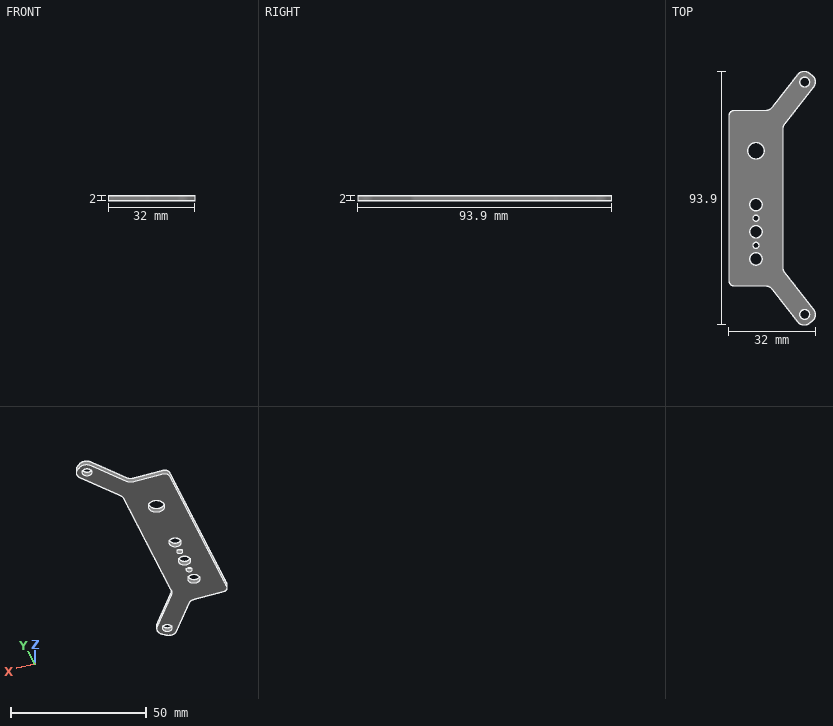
import cadquery as cq
import math

thickness = 2.0
plate_width = 20.0
plate_length = 65.0
plate_corner_radius = 2.0

overall_length = 93.9
overall_width = 32.0
arm_width = 7.5
arm_corner_radius = 3.0
arm_angle = 52.0
arm_hole_diameter = 3.6
arm_hole_setback = 3.7

switch_hole_diameter = 6.0
switch_hole_y = 17.6

led_hole_diameter = 4.5
led_pitch = 10.05
led_row_y = -12.4
pin_hole_diameter = 2.2

half_length = plate_length / 2
row_x = plate_width / 2

along_x = math.cos(math.radians(arm_angle))
along_y = math.sin(math.radians(arm_angle))
across_x = -along_y
across_y = along_x

half_flat = arm_width / 2 - arm_corner_radius
arc_middle_x = overall_width - arm_corner_radius + half_flat * across_x
arc_middle_y = overall_length / 2 - arm_corner_radius - half_flat * across_y


def on_arm(forward, outward):
    """Return the point at these distances along and across the arm from the middle of its arcs."""
    return (
        arc_middle_x + forward * along_x + outward * across_x,
        arc_middle_y + forward * along_y + outward * across_y,
    )


tip_outer = on_arm(arm_corner_radius, arm_width / 2)
tip_inner = on_arm(arm_corner_radius, -arm_width / 2)
arm_hole = on_arm(arm_corner_radius - arm_hole_setback, 0)
arm_slope = along_y / along_x
outer_root = (tip_outer[0] - (tip_outer[1] - half_length) / arm_slope, half_length)
inner_root = (plate_width, tip_inner[1] - (tip_inner[0] - plate_width) * arm_slope)
plate_corner = (0, half_length)


def mirrored(point):
    """Return the matching point on the lower half."""
    return (point[0], -point[1])


def round_corners(body, radius, upper_corners):
    """Round the upright edges at these corners and at their lower counterparts."""
    for corner in upper_corners + [mirrored(point) for point in upper_corners]:
        nearest_edge = cq.selectors.NearestToPointSelector((*corner, thickness / 2))
        body = body.edges("|Z").edges(nearest_edge).fillet(radius)
    return body


def make_blank():
    """Plate with two angled arms; plate corners, arm ends and arm roots are rounded."""
    upper_half = [plate_corner, outer_root, tip_outer, tip_inner, inner_root]
    lower_half = [mirrored(point) for point in reversed(upper_half)]
    blank = cq.Workplane("XY").polyline(upper_half + lower_half).close().extrude(thickness)
    blank = round_corners(blank, plate_corner_radius, [plate_corner])
    return round_corners(blank, arm_corner_radius, [outer_root, tip_outer, tip_inner, inner_root])


def drill(body, diameter, points):
    """Cut straight holes through the full thickness."""
    cutters = cq.Workplane("XY").pushPoints(points).circle(diameter / 2).extrude(thickness)
    return body.cut(cutters)


led_points = [(row_x, led_row_y + step * led_pitch) for step in (-1, 0, 1)]
pin_points = [(row_x, led_row_y + step * led_pitch) for step in (-0.5, 0.5)]
arm_points = [arm_hole, mirrored(arm_hole)]

result = make_blank()
result = drill(result, switch_hole_diameter, [(row_x, switch_hole_y)])
result = drill(result, led_hole_diameter, led_points)
result = drill(result, pin_hole_diameter, pin_points)
result = drill(result, arm_hole_diameter, arm_points)